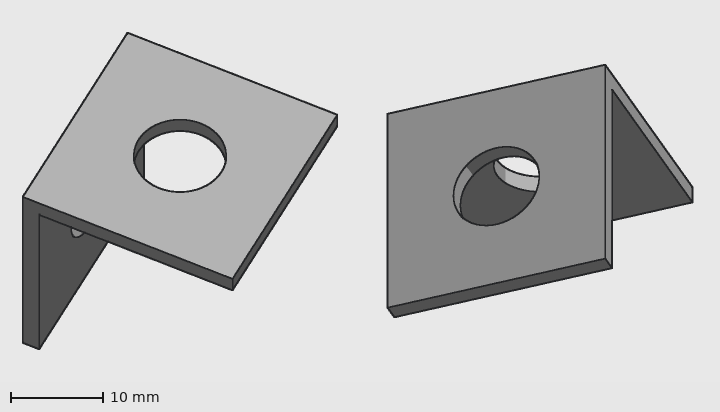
import cadquery as cq

side = 25.4
thickness = 2.0
hole_diameter = 10.0
center = side / 2


def angle_body():
    """Top plate and side plate meeting along the upper -X edge."""
    top_plate = cq.Workplane("XY").box(side, side, thickness, centered=False)
    top_plate = top_plate.translate((0, 0, side - thickness))
    side_plate = cq.Workplane("XY").box(thickness, side, side, centered=False)
    return top_plate.union(side_plate)


def plate_hole(plane, plate_start):
    """Cutter through one plate, centred on the full square face."""
    return (
        cq.Workplane(plane)
        .workplane(offset=plate_start)
        .center(center, center)
        .circle(hole_diameter / 2)
        .extrude(thickness)
    )


top_hole = plate_hole("XY", side - thickness)
side_hole = plate_hole("YZ", 0)

result = angle_body().cut(top_hole).cut(side_hole)